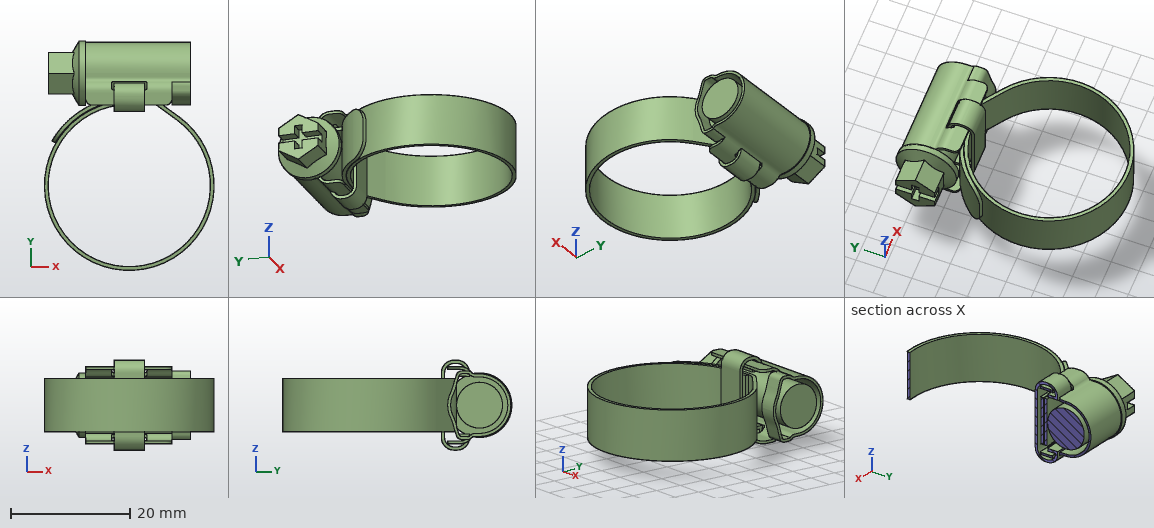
import cadquery as cq
import math


overall_y = 38.4

ring_radius = 14.2
band_thickness = 0.65
band_width = 8.95
lap_gap = 0.08
bend_radius = 2.88
tangent_angle = 54.0
tail_end_angle = 150.0
tail_corner_radius = 3.0

flange_radius = 5.4
flange_thickness = 1.1
cone_height = 1.1
hex_across_flats = 7.0
head_length = 6.22
cross_slot_width = 1.3
cross_slot_length = 4.15
cross_slot_depth = 2.05

sheet = 0.5
tube_radius = 5.22
housing_start = -7.3
flap_end = 7.15
housing_end = 10.25
crease_y = 18.1
flare_radius = 1.0
flap_edge_y = 13.45
flap_height = 12.95
flap_corner_radius = 1.08
collar_height = 11.52

flap_flat_end_y = 15.55
flap_flare_end_y = 17.25
collar_bottom_y = 13.45
collar_belly_end = (13.9, 2.05)
collar_belly_radius = 4.72
collar_wall_start = (14.48, 3.72)
collar_wall_end = (14.85, 5.03)
collar_flat_start_y = 15.8
collar_flat_end_y = 16.63
collar_flare_end_y = 17.3

strap_width = 5.1
strap_outer_y = 12.35
strap_thickness = 0.58
strap_height = 15.1
strap_bend_radius = 2.15
strap_leg_tip_y = 14.98
strap_back_bend_y = 14.98

slot_width = 5.95
slot_front_y = 16.0
slot_back_y = 17.45
slot_corner_radius = 0.35

axis_y = overall_y - ring_radius - flange_radius
ring_bore = ring_radius - band_thickness
worm_radius = axis_y - ring_radius - lap_gap - band_thickness
strap_inner_y = strap_outer_y + strap_thickness
strap_half_height = strap_height / 2
flap_half_height = flap_height / 2
collar_half_height = collar_height / 2


def polar(radius, angle):
    """Point at an angle, in degrees from +X, about the ring axis."""
    return (radius * math.cos(math.radians(angle)), radius * math.sin(math.radians(angle)))


def make_band():
    """One strip: inner lap, round the ring, up a straight run, then over the lap to the tail."""
    tail_inner = ring_radius + lap_gap
    tail_outer = tail_inner + band_thickness

    run_direction = math.radians(tangent_angle)
    bend_y = tail_inner - bend_radius
    bend_x = (ring_bore - bend_radius - bend_y * math.sin(run_direction)) / math.cos(run_direction)

    def bend_point(radius, angle):
        x, y = polar(radius, angle)
        return (bend_x + x, bend_y + y)

    bend_outer = bend_radius + band_thickness
    bend_mid_angle = (90 + tangent_angle) / 2
    ring_mid_angle = (90 + tangent_angle + 360) / 2
    tail_mid_angle = (90 + tail_end_angle) / 2
    lap_end_x = strap_width / 2

    outline = (
        cq.Workplane("XY")
        .moveTo(lap_end_x, ring_bore)
        .lineTo(0, ring_bore)
        .threePointArc(polar(ring_bore, ring_mid_angle), polar(ring_bore, tangent_angle))
        .lineTo(*bend_point(bend_radius, tangent_angle))
        .threePointArc(bend_point(bend_radius, bend_mid_angle), bend_point(bend_radius, 90))
        .lineTo(0, tail_inner)
        .threePointArc(polar(tail_inner, tail_mid_angle), polar(tail_inner, tail_end_angle))
        .lineTo(*polar(tail_outer, tail_end_angle))
        .threePointArc(polar(tail_outer, tail_mid_angle), (0, tail_outer))
        .lineTo(*bend_point(bend_outer, 90))
        .threePointArc(bend_point(bend_outer, bend_mid_angle), bend_point(bend_outer, tangent_angle))
        .lineTo(*polar(ring_radius, tangent_angle))
        .threePointArc(polar(ring_radius, ring_mid_angle), (0, ring_radius))
        .lineTo(lap_end_x, ring_radius)
        .close()
    )
    band = outline.extrude(band_width / 2, both=True)

    tail_end_x, tail_end_y = polar((tail_inner + tail_outer) / 2, tail_end_angle)
    tail_end_edges = cq.selectors.BoxSelector(
        (tail_end_x - band_thickness, tail_end_y - band_thickness, -band_width),
        (tail_end_x + band_thickness, tail_end_y + band_thickness, band_width),
    )
    radial = cq.selectors.ParallelDirSelector(cq.Vector(*polar(1, tail_end_angle), 0))
    return band.edges(tail_end_edges).edges(radial).fillet(tail_corner_radius)


def make_screw():
    """Hexagon head with a cross slot, coned flange and plain worm shaft."""
    head_end = housing_start - head_length
    cone_base = housing_start - flange_thickness
    small_radius = hex_across_flats / 2
    turned = (
        cq.Workplane("XY")
        .moveTo(cone_base - cone_height, axis_y)
        .lineTo(cone_base - cone_height, axis_y + small_radius)
        .lineTo(cone_base, axis_y + flange_radius)
        .lineTo(housing_start, axis_y + flange_radius)
        .lineTo(housing_start, axis_y + worm_radius)
        .lineTo(housing_end, axis_y + worm_radius)
        .lineTo(housing_end, axis_y)
        .close()
        .revolve(360, (0, axis_y, 0), (1, axis_y, 0))
    )
    hex_across_corners = hex_across_flats / math.cos(math.radians(30))
    head_plane = cq.Workplane("YZ", origin=(head_end, axis_y, 0))
    hexagon = (
        head_plane.transformed(rotate=(0, 0, 90))
        .polygon(6, hex_across_corners)
        .extrude(cone_base - head_end)
    )
    long_slot = head_plane.rect(hex_across_flats, cross_slot_width).extrude(cross_slot_depth)
    short_slot = head_plane.rect(cross_slot_width, cross_slot_length).extrude(cross_slot_depth)
    return turned.union(hexagon).cut(long_slot).cut(short_slot)


def flare_point(y):
    """Point of the concave flare at this Y, on the +Z side."""
    return (y, tube_radius + flare_radius - math.sqrt(flare_radius**2 - (crease_y - y) ** 2))


def close_over_tube(half_outline, flare_end_y):
    """Finish a (Y, Z) half outline: flare up to the tube, then round it to the plane Z = 0."""
    middle_step = tube_radius * math.cos(math.radians(45))
    return (
        half_outline.tangentArcPoint(flare_point(flare_end_y), relative=False)
        .threePointArc(flare_point((flare_end_y + crease_y) / 2), flare_point(crease_y))
        .lineTo(axis_y, tube_radius)
        .threePointArc((axis_y + middle_step, middle_step), (axis_y + tube_radius, 0))
        .close()
    )


def make_shell(half_outline, length):
    """Sheet tunnel, open at both ends, whose outer face follows the mirrored half outline."""
    half = half_outline.extrude(length)
    return half.union(half.mirror("XY")).faces("<X or >X").shell(-sheet, kind="intersection")


def make_flap_section():
    """Tube that flares into two flat flaps with rounded corners, open towards the band."""
    floor_y = flap_edge_y - sheet
    half_outline = (
        cq.Workplane("YZ", origin=(housing_start, 0, 0))
        .moveTo(floor_y, 0)
        .lineTo(floor_y, flap_half_height)
        .lineTo(flap_flat_end_y, flap_half_height)
    )
    length = flap_end - housing_start
    section = make_shell(close_over_tube(half_outline, flap_flare_end_y), length)
    floor = (
        cq.Workplane("YZ", origin=(housing_start, flap_edge_y - sheet / 2, 0))
        .rect(sheet, flap_height)
        .extrude(length)
    )
    section = section.cut(floor)
    return section.edges("|Z and <Y").fillet(flap_corner_radius)


def make_collar():
    """Closed section round the worm at the far end."""
    half_outline = (
        cq.Workplane("YZ", origin=(flap_end, 0, 0))
        .moveTo(collar_bottom_y, 0)
        .radiusArc(collar_belly_end, collar_belly_radius)
        .tangentArcPoint(collar_wall_start, relative=False)
        .lineTo(*collar_wall_end)
        .tangentArcPoint((collar_flat_start_y, collar_half_height), relative=False)
        .lineTo(collar_flat_end_y, collar_half_height)
    )
    return make_shell(close_over_tube(half_outline, collar_flare_end_y), housing_end - flap_end)


def make_housing():
    """Flap section and collar in one piece, with a strap slot through each flare."""
    housing = make_flap_section().union(make_collar())
    for side in (-1, 1):
        slot = (
            cq.Workplane("XY", origin=(0, (slot_front_y + slot_back_y) / 2, 0))
            .rect(slot_width, slot_back_y - slot_front_y)
            .extrude(side * strap_half_height)
            .edges("|Z")
            .fillet(slot_corner_radius)
        )
        housing = housing.cut(slot)
    return housing


def make_strap():
    """Strap under the band, bent round both flaps and through the slots to two inner legs."""
    bend_z = strap_half_height - strap_bend_radius
    inner_top_z = strap_half_height - strap_thickness
    front_bend_y = strap_outer_y + strap_bend_radius
    leg_z = bend_z - strap_thickness
    back_y = strap_back_bend_y + strap_bend_radius
    half = (
        cq.Workplane("YZ")
        .moveTo(strap_outer_y, 0)
        .lineTo(strap_outer_y, bend_z)
        .tangentArcPoint((front_bend_y, strap_half_height), relative=False)
        .lineTo(strap_back_bend_y, strap_half_height)
        .tangentArcPoint((back_y, bend_z), relative=False)
        .lineTo(back_y, leg_z)
        .lineTo(strap_leg_tip_y, leg_z)
        .lineTo(strap_leg_tip_y, bend_z)
        .lineTo(back_y - strap_thickness, bend_z)
        .radiusArc((strap_back_bend_y, inner_top_z), strap_thickness - strap_bend_radius)
        .lineTo(front_bend_y, inner_top_z)
        .tangentArcPoint((strap_inner_y, bend_z), relative=False)
        .lineTo(strap_inner_y, 0)
        .close()
        .extrude(strap_width / 2, both=True)
    )
    return half.union(half.mirror("XY"))


band = make_band()
screw = make_screw()
housing = make_housing()
strap = make_strap()

result = cq.Compound.makeCompound([band.val(), screw.val(), housing.val(), strap.val()])